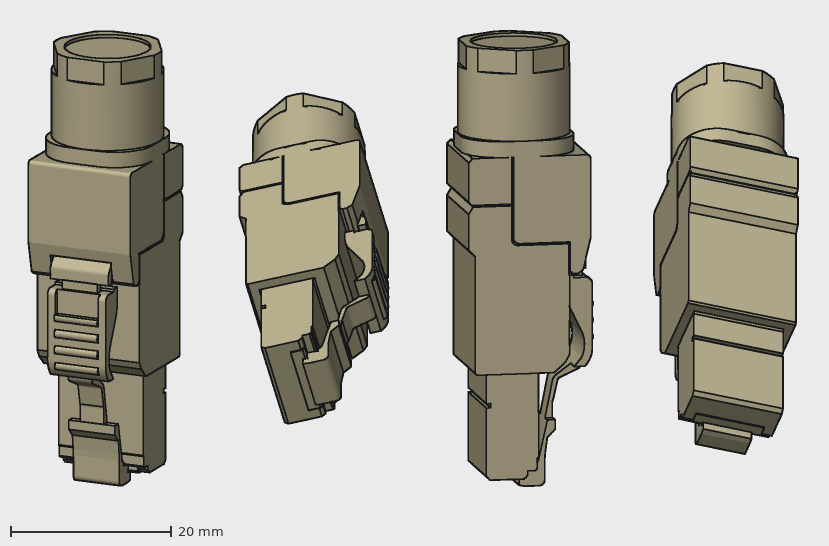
import cadquery as cq
import math

TOTAL_HEIGHT = 55.95
TOTAL_DEPTH = 16.63
BACK_Y = 7.12
RIB_TIP_Y = BACK_Y - TOTAL_DEPTH

NUT_RADIUS = 7.02
NUT_FLAT_DISTANCE = 6.55
NUT_HEX_HEIGHT = 2.95
BORE_RADIUS = 5.4
BORE_DEPTH = 0.4

COLLAR_CORNER_RADIUS = 5.05
COLLAR_BOTTOM_Z = 42.45
COLLAR_HEIGHT = 2.0
COLLAR_TOP_Z = COLLAR_BOTTOM_Z + COLLAR_HEIGHT

HOUSING_HALF_WIDTH = 7.02
HOUSING_TOP_Z = COLLAR_BOTTOM_Z
BODY_FRONT_Y = -5.7
BODY_BACK_Y = 6.3
BODY_BOTTOM_Z = 14.98
BODY_LEDGE_Z = 31.35
COVER_FRONT_Y = -8.4
COVER_BOTTOM_Z = 27.42
COVER_TAPER_Z = 31.9
COVER_LIP_Y = -7.2
COVER_LIP_ROUND = 0.45
SEAM_Y = 1.52
CAP_SEAM_Z = 36.4
SEAM_WIDTH = 0.2
SEAM_DEPTH = 0.2
SEAM_CORNER_RADIUS = 0.8
EDGE_ROUND = 0.5

PLUG_HALF_WIDTH = 5.83
PLUG_BACK_Y = 4.64
PLUG_FRONT_Y = -2.0
PLUG_BOTTOM_Z = 1.4
PLUG_STEP_Y = -0.65
PLUG_STEP_Z = 2.42
PLUG_CHAMFER = 0.5
PLUG_STEP_CHAMFER = 0.22
PLUG_RELIEF_Z = 4.1
PLUG_RELIEF_DEPTH = 0.2
PLUG_FLARE = 0.25
PLUG_NOTCH_Z = 10.85
PLUG_NOTCH_HEIGHT = 0.55
PLUG_NOTCH_DEPTH = 0.55
PLUG_PAD_HALF_WIDTH = 4.45
PLUG_PAD_BACK_Y = 1.2
PLUG_PAD_HEIGHT = 0.15
PLUG_PAD_CHAMFER = 0.3

PADDLE_HALF_WIDTH = 4.0
PADDLE_FRONT_Y = -9.2
PADDLE_TOP_Z = 26.7
PADDLE_SHOULDER_Z = 26.37
PADDLE_BOTTOM_Z = 15.1
ARM_HALF_WIDTH = 1.62
ARM_ROOT_FRONT = (-8.25, PADDLE_BOTTOM_Z)
ARM_ROOT_BACK = (-6.9, PADDLE_BOTTOM_Z)
ARM_FRONT_Y = -4.58
ARM_BACK_Y = -3.65
HEAD_HALF_WIDTH = 3.16
HEAD_TOP_Z = 8.3
HEAD_FRONT_Y = -3.33
HEAD_BARB_Y = -4.65
TONGUE_FRONT_Y = -8.37
TONGUE_BACK_Y = -7.33
TONGUE_BOTTOM_Z = 27.55
TONGUE_TOP_Z = 30.3
TONGUE_CLEARANCE = 0.15
NECK_FRONT_Y = -8.25
NECK_HALF_WIDTH = 2.43
GRIP_HALF_WIDTH = 2.95
GRIP_RECESS_FLOOR_Y = -8.6
GRIP_RECESS_BOTTOM_Z = 23.2
RIB_RADIUS = 0.6
RIB_TOP_Z = 22.85
RIB_PITCH = 2.1
RIB_COUNT = 4
LAST_RIB_INSET = 0.15


def profile(y, z):
    """Start an outline in the YZ plane at the given point."""
    return cq.Workplane("YZ").moveTo(y, z)


def across(outline, half_width):
    """Extrude a YZ outline symmetrically about the X = 0 plane."""
    return outline.extrude(half_width, both=True)


def block(half_width, y_limits, z_limits):
    """Box centred on X = 0 between two Y and two Z limits."""
    y_min, y_max = y_limits
    z_min, z_max = z_limits
    outline = profile(y_min, z_min).lineTo(y_max, z_min).lineTo(y_max, z_max).lineTo(y_min, z_max)
    return across(outline.close(), half_width)


def make_nut():
    nut_height = TOTAL_HEIGHT - COLLAR_TOP_Z
    nut = cq.Workplane("XY").workplane(offset=COLLAR_TOP_Z).circle(NUT_RADIUS).extrude(nut_height)
    hex_corner_diameter = 2 * NUT_FLAT_DISTANCE / math.cos(math.pi / 6)
    hex_band = (
        cq.Workplane("XY")
        .workplane(offset=TOTAL_HEIGHT - NUT_HEX_HEIGHT)
        .circle(hex_corner_diameter)
        .polygon(6, hex_corner_diameter)
        .extrude(NUT_HEX_HEIGHT)
    )
    bore = (
        cq.Workplane("XY")
        .workplane(offset=TOTAL_HEIGHT - BORE_DEPTH)
        .circle(BORE_RADIUS)
        .extrude(BORE_DEPTH)
    )
    return nut.cut(hex_band).cut(bore)


def make_collar():
    square = block(HOUSING_HALF_WIDTH, (-BACK_Y, BACK_Y), (COLLAR_BOTTOM_Z, COLLAR_TOP_Z))
    return square.edges("|Z").fillet(COLLAR_CORNER_RADIUS)


def make_cover():
    outline = (
        profile(SEAM_Y, HOUSING_TOP_Z)
        .lineTo(COVER_FRONT_Y + EDGE_ROUND, HOUSING_TOP_Z)
        .radiusArc((COVER_FRONT_Y, HOUSING_TOP_Z - EDGE_ROUND), -EDGE_ROUND)
        .lineTo(COVER_FRONT_Y, COVER_TAPER_Z)
        .lineTo(COVER_LIP_Y - COVER_LIP_ROUND / 2, COVER_BOTTOM_Z + COVER_LIP_ROUND)
        .lineTo(COVER_LIP_Y + COVER_LIP_ROUND, COVER_BOTTOM_Z)
        .lineTo(BODY_FRONT_Y - COVER_LIP_ROUND, COVER_BOTTOM_Z)
        .lineTo(BODY_FRONT_Y, COVER_BOTTOM_Z + COVER_LIP_ROUND)
        .lineTo(BODY_FRONT_Y, BODY_LEDGE_Z)
        .lineTo(SEAM_Y, BODY_LEDGE_Z)
        .close()
    )
    tongue_slot = block(
        PADDLE_HALF_WIDTH + TONGUE_CLEARANCE,
        (COVER_FRONT_Y, TONGUE_BACK_Y),
        (COVER_BOTTOM_Z, TONGUE_TOP_Z + TONGUE_CLEARANCE),
    )
    return across(outline, HOUSING_HALF_WIDTH).cut(tongue_slot)


def make_cap():
    cap = block(HOUSING_HALF_WIDTH, (SEAM_Y, BACK_Y), (CAP_SEAM_Z, HOUSING_TOP_Z))
    return cap.edges("|X and >Y").chamfer(EDGE_ROUND)


def make_body():
    shoulder_z = 30.85
    shoulder_chamfer = BACK_Y - BODY_BACK_Y
    top_chamfer_y = 0.6
    top_chamfer_z = 1.0
    bottom_chamfer = 0.25
    front_chamfer_y = 1.95
    front_chamfer_z = 1.75
    front_edge_round = 0.5
    chamfer_end_z = BODY_BOTTOM_Z + front_chamfer_z
    chamfer_slope = front_chamfer_z / front_chamfer_y
    outline = (
        profile(SEAM_Y, CAP_SEAM_Z)
        .lineTo(BACK_Y - top_chamfer_y, CAP_SEAM_Z)
        .lineTo(BACK_Y, CAP_SEAM_Z - top_chamfer_z)
        .lineTo(BACK_Y, shoulder_z)
        .lineTo(BODY_BACK_Y, shoulder_z - shoulder_chamfer)
        .lineTo(BODY_BACK_Y, BODY_BOTTOM_Z + bottom_chamfer)
        .lineTo(BODY_BACK_Y - bottom_chamfer, BODY_BOTTOM_Z)
        .lineTo(BODY_FRONT_Y + front_chamfer_y, BODY_BOTTOM_Z)
        .lineTo(BODY_FRONT_Y + front_edge_round, chamfer_end_z - front_edge_round * chamfer_slope)
        .lineTo(BODY_FRONT_Y, chamfer_end_z + front_edge_round)
        .lineTo(BODY_FRONT_Y, BODY_LEDGE_Z)
        .lineTo(SEAM_Y, BODY_LEDGE_Z)
        .close()
    )
    return across(outline, HOUSING_HALF_WIDTH)


def cover_seam_region(offset):
    """Region in front of the cover seam, grown by offset past the seam at its rear and bottom."""
    region = block(
        HOUSING_HALF_WIDTH,
        (BODY_FRONT_Y, SEAM_Y + offset),
        (BODY_LEDGE_Z - offset, HOUSING_TOP_Z),
    )
    return region.edges("|X and >Y and <Z").fillet(SEAM_CORNER_RADIUS)


def make_side_seams():
    """Shallow seam lines on both side faces of the housing."""
    half_seam = SEAM_WIDTH / 2
    cover_seam = cover_seam_region(half_seam).cut(cover_seam_region(-half_seam))
    front_leg = block(
        HOUSING_HALF_WIDTH,
        (BODY_FRONT_Y - half_seam, BODY_FRONT_Y + half_seam),
        (COVER_BOTTOM_Z, BODY_LEDGE_Z),
    )
    cap_seam = block(
        HOUSING_HALF_WIDTH,
        (SEAM_Y, BACK_Y),
        (CAP_SEAM_Z - half_seam, CAP_SEAM_Z + half_seam),
    )
    core = block(
        HOUSING_HALF_WIDTH - SEAM_DEPTH,
        (COVER_FRONT_Y, BACK_Y - SEAM_DEPTH),
        (COVER_BOTTOM_Z, HOUSING_TOP_Z),
    )
    return cover_seam.union(front_leg).union(cap_seam).cut(core)


def make_plug():
    relief_y = PLUG_FRONT_Y + PLUG_RELIEF_DEPTH
    outline = (
        profile(PLUG_BACK_Y + PLUG_FLARE, BODY_BOTTOM_Z)
        .lineTo(PLUG_BACK_Y, BODY_BOTTOM_Z - PLUG_FLARE)
        .lineTo(PLUG_BACK_Y, PLUG_BOTTOM_Z + PLUG_CHAMFER)
        .lineTo(PLUG_BACK_Y - PLUG_CHAMFER, PLUG_BOTTOM_Z)
        .lineTo(PLUG_STEP_Y + PLUG_CHAMFER, PLUG_BOTTOM_Z)
        .lineTo(PLUG_STEP_Y, PLUG_BOTTOM_Z + PLUG_CHAMFER)
        .lineTo(PLUG_STEP_Y, PLUG_STEP_Z)
        .lineTo(relief_y + PLUG_STEP_CHAMFER, PLUG_STEP_Z)
        .lineTo(relief_y, PLUG_STEP_Z + PLUG_STEP_CHAMFER)
        .lineTo(relief_y, PLUG_RELIEF_Z - PLUG_RELIEF_DEPTH)
        .lineTo(PLUG_FRONT_Y, PLUG_RELIEF_Z)
        .lineTo(PLUG_FRONT_Y, BODY_BOTTOM_Z - PLUG_FLARE)
        .lineTo(PLUG_FRONT_Y - PLUG_FLARE, BODY_BOTTOM_Z)
        .close()
    )
    plug = across(outline, PLUG_HALF_WIDTH)
    notch = block(
        PLUG_HALF_WIDTH,
        (PLUG_BACK_Y - PLUG_NOTCH_DEPTH, PLUG_BACK_Y),
        (PLUG_NOTCH_Z - PLUG_NOTCH_HEIGHT / 2, PLUG_NOTCH_Z + PLUG_NOTCH_HEIGHT / 2),
    )
    pad = block(
        PLUG_PAD_HALF_WIDTH,
        (PLUG_STEP_Y, PLUG_PAD_BACK_Y),
        (PLUG_BOTTOM_Z - PLUG_PAD_HEIGHT, PLUG_BOTTOM_Z + PLUG_CHAMFER),
    )
    pad = pad.edges("|X and <Y and <Z").chamfer(PLUG_PAD_CHAMFER)
    return plug.cut(notch).union(pad)


def make_paddle():
    """Finger paddle with grip ribs; its inner side thins towards the arm."""
    ledge_y = -6.85
    ear_round_start = (-8.45, PADDLE_SHOULDER_Z)
    ear_round_middle = (-8.95, 26.15)
    ear_round_end = (PADDLE_FRONT_Y, 25.65)
    lower_round_start = (PADDLE_FRONT_Y, 17.6)
    lower_round_middle = (-9.0, 16.25)
    hollow_bottom = (-7.85, 16.3)
    hollow_middle = (-8.2, 17.7)
    hollow_top = (-7.95, 19.3)
    heel_round_start = (-6.05, 23.2)
    heel_round_middle = (-5.8, 24.1)
    heel_round_end = (BODY_FRONT_Y, 25.0)
    outline = (
        profile(BODY_FRONT_Y, PADDLE_TOP_Z)
        .lineTo(ledge_y, PADDLE_TOP_Z)
        .lineTo(ledge_y, PADDLE_SHOULDER_Z)
        .lineTo(*ear_round_start)
        .threePointArc(ear_round_middle, ear_round_end)
        .lineTo(*lower_round_start)
        .threePointArc(lower_round_middle, ARM_ROOT_FRONT)
        .lineTo(*ARM_ROOT_BACK)
        .lineTo(*hollow_bottom)
        .threePointArc(hollow_middle, hollow_top)
        .lineTo(*heel_round_start)
        .threePointArc(heel_round_middle, heel_round_end)
        .close()
    )
    paddle = across(outline, PADDLE_HALF_WIDTH)
    recess = block(
        GRIP_HALF_WIDTH,
        (RIB_TIP_Y, GRIP_RECESS_FLOOR_Y),
        (GRIP_RECESS_BOTTOM_Z, PADDLE_TOP_Z),
    )
    return paddle.union(make_ribs()).cut(recess)


def make_ribs():
    ribs = cq.Workplane("YZ")
    for index in range(RIB_COUNT):
        inset = LAST_RIB_INSET if index == RIB_COUNT - 1 else 0
        center_y = RIB_TIP_Y + RIB_RADIUS + inset
        center_z = RIB_TOP_Z - index * RIB_PITCH
        ribs = ribs.union(across(profile(center_y, center_z).circle(RIB_RADIUS), GRIP_HALF_WIDTH))
    return ribs


def make_tongue():
    """Tongue joining the cover taper, with a narrower neck down to the paddle."""
    nose_round_start = (TONGUE_FRONT_Y, 28.75)
    nose_round_middle = (-8.32, 29.05)
    nose_round_end = (-8.17, 29.3)
    head = (
        profile(TONGUE_BACK_Y, TONGUE_BOTTOM_Z)
        .lineTo(TONGUE_FRONT_Y, TONGUE_BOTTOM_Z)
        .lineTo(*nose_round_start)
        .threePointArc(nose_round_middle, nose_round_end)
        .lineTo(TONGUE_BACK_Y, TONGUE_TOP_Z)
        .close()
    )
    neck = block(
        NECK_HALF_WIDTH,
        (NECK_FRONT_Y, TONGUE_BACK_Y),
        (PADDLE_SHOULDER_Z, TONGUE_BOTTOM_Z),
    )
    return across(head, PADDLE_HALF_WIDTH).union(neck)


def make_arm():
    """Thin flexing strip between the paddle and the head."""
    root_round_middle = (-8.1, 14.65)
    root_round_end = (-7.6, 14.3)
    outer_bend_start = (-5.5, 13.35)
    outer_bend_middle = (-5.35, 13.22)
    outer_bend_end = (-5.25, 13.0)
    lower_bend_start = (-4.7, 10.6)
    lower_bend_middle = (-4.62, 10.45)
    lower_bend_end = (ARM_FRONT_Y, 10.25)
    inner_bend_start = (-4.55, 12.85)
    inner_bend_middle = (-4.75, 13.4)
    inner_bend_end = (-5.2, 13.85)
    outline = (
        profile(*ARM_ROOT_BACK)
        .lineTo(*ARM_ROOT_FRONT)
        .threePointArc(root_round_middle, root_round_end)
        .lineTo(*outer_bend_start)
        .threePointArc(outer_bend_middle, outer_bend_end)
        .lineTo(*lower_bend_start)
        .threePointArc(lower_bend_middle, lower_bend_end)
        .lineTo(ARM_FRONT_Y, HEAD_TOP_Z)
        .lineTo(ARM_BACK_Y, HEAD_TOP_Z)
        .lineTo(*inner_bend_start)
        .threePointArc(inner_bend_middle, inner_bend_end)
        .close()
    )
    return across(outline, ARM_HALF_WIDTH)


def make_head():
    """Wide hook at the lower end, joined to the plug under its front step."""
    barb_bottom_z = 7.1
    barb_depth = ARM_BACK_Y - HEAD_BARB_Y
    slope_end_z = 4.25
    slope_offset = 0.07
    toe_top_z = 3.4
    toe_round = 0.75
    toe_back_y = -0.05
    toe_lift = 0.15
    toe_lift_length = 0.75
    hook_top_z = PLUG_BOTTOM_Z - PLUG_PAD_HEIGHT
    bridge_top_z = 2.85
    bridge_front_y = -2.5
    bridge_front_z = 3.2
    outline = (
        profile(ARM_BACK_Y, HEAD_TOP_Z)
        .lineTo(HEAD_BARB_Y, HEAD_TOP_Z)
        .lineTo(HEAD_BARB_Y, barb_bottom_z)
        .lineTo(ARM_BACK_Y, barb_bottom_z - barb_depth)
        .lineTo(HEAD_FRONT_Y - slope_offset, slope_end_z)
        .lineTo(HEAD_FRONT_Y, toe_top_z)
        .lineTo(HEAD_FRONT_Y, toe_round)
        .radiusArc((HEAD_FRONT_Y + toe_round, 0), -toe_round)
        .lineTo(toe_back_y - toe_lift_length, 0)
        .lineTo(toe_back_y, toe_lift)
        .lineTo(toe_back_y, hook_top_z)
        .lineTo(PLUG_STEP_Y, hook_top_z)
        .lineTo(PLUG_STEP_Y, PLUG_STEP_Z)
        .lineTo(PLUG_FRONT_Y, PLUG_STEP_Z)
        .lineTo(PLUG_FRONT_Y, bridge_top_z)
        .lineTo(bridge_front_y, bridge_front_z)
        .close()
    )
    return across(outline, HEAD_HALF_WIDTH)


housing = make_cover().union(make_cap()).union(make_body()).cut(make_side_seams())
latch = make_paddle().union(make_tongue()).union(make_arm()).union(make_head())
result = make_nut().union(make_collar()).union(housing).union(make_plug()).union(latch)